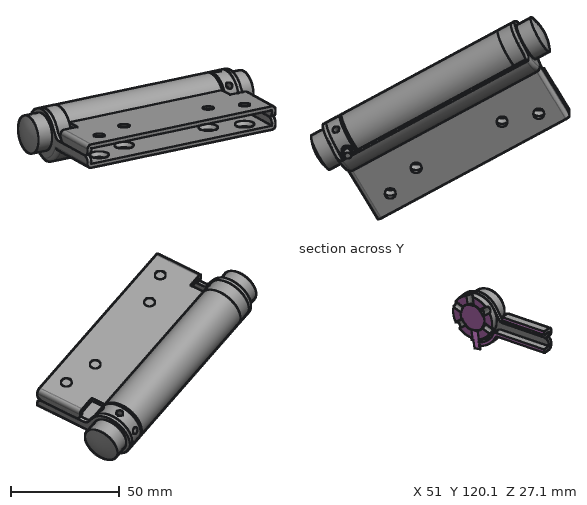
import cadquery as cq
import math


sheet = 2.0
plate_height = 5.75
leaf_reach = 40.0
leaf_half_length = 50.8
ear_corner_radius = 2.75

barrel_radius = 11.0
shaft_radius = 6.5
collar_length = 7.0
washer_thickness = 1.0
ear_inner_y = leaf_half_length - sheet
collar_inner_y = ear_inner_y - collar_length
barrel_top_y = collar_inner_y - washer_thickness
barrel_bottom_y = -collar_inner_y

head_radius = 9.0
head_rim_y = 58.15
head_tip_y = 60.05

notch_edge_x = 16.5

cradle_outer_radius = 14.4
cradle_inner_radius = cradle_outer_radius - sheet
ear_top_angle = 32.0
ear_root_radius = 3.0
ear_cut_angle = 246.0
cradle_mid_angle = -50.0

screw_hole_diameter = 5.0
countersink_flank_angle = 45.0
screw_holes = [(31.5, 39.3), (26.5, 22.75)]

pin_radius = 1.6
pin_shoulder_radius = 2.5
pin_shoulder_distance = 11.9
pin_tip_distance = 16.0
pin_y = 45.2
pin_hole_count = 6
pin_angle = 279.1

cradle_end_angle = ear_cut_angle + math.degrees(math.acos(barrel_radius / cradle_outer_radius))

corner_x = math.sqrt(cradle_outer_radius**2 - plate_height**2)
corner_angle = -math.degrees(math.asin(plate_height / cradle_outer_radius))


def polar(radius, angle):
    """Point in the XZ plane at an angle in degrees from +X toward +Z."""
    a = math.radians(angle)
    return radius * math.cos(a), radius * math.sin(a)


def profile_plane(y_end):
    """XZ sketch plane at a Y position; extruding from it goes toward -Y."""
    return cq.Workplane("XZ", origin=(0, y_end, 0))


def cylinder(radius, y_start, y_end):
    return profile_plane(y_end).circle(radius).extrude(y_end - y_start)


def knuckle_ring(y_start, y_end):
    """Ring of the barrel's radius, bored for the axle."""
    return cylinder(barrel_radius, y_start, y_end).cut(cylinder(shaft_radius, y_start, y_end))


def block(x_start, x_end, y_start, y_end, z_start, z_end):
    size = (x_end - x_start, y_end - y_start, z_end - z_start)
    return cq.Workplane().box(*size, centered=False).translate((x_start, y_start, z_start))


def radial_rod(radius, angle, start, end):
    """Round bar pointing outward from the axis at the pin position, between two distances from it."""
    x, z = polar(1, angle)
    plane = cq.Plane(origin=(x * start, pin_y, z * start), xDir=(0, 1, 0), normal=(x, 0, z))
    return cq.Workplane(plane).circle(radius).extrude(end - start)


def countersinks(side):
    """Cones through one leaf, narrow at its outer face; side is 1 for the upper leaf, -1 for the frame."""
    outer_radius = screw_hole_diameter / 2
    inner_radius = outer_radius + sheet * math.tan(math.radians(countersink_flank_angle))
    cones = cq.Workplane()
    for x, y in screw_holes:
        for y_side in (1, -1):
            start = cq.Vector(x, y_side * y, side * plate_height)
            cone = cq.Solid.makeCone(outer_radius, inner_radius, sheet, start, cq.Vector(0, 0, -side))
            cones = cones.add(cone)
    return cones.combine()


def make_upper_leaf():
    """Barrel with its plate; both end edges of the plate are bent down to the parting plane."""
    barrel = cylinder(barrel_radius, barrel_bottom_y, barrel_top_y)
    tongue = block(0, notch_edge_x, barrel_bottom_y, barrel_top_y, plate_height - sheet, plate_height)
    plate = block(notch_edge_x, leaf_reach, -leaf_half_length, leaf_half_length, 0, plate_height)
    plate = plate.edges("|X and >Z").fillet(sheet)
    plate = plate.edges("|Y and <Z").fillet(ear_corner_radius)
    channel = block(notch_edge_x, leaf_reach, -ear_inner_y, ear_inner_y, 0, plate_height - sheet)
    leaf = barrel.union(tongue).union(plate.cut(channel))
    bore = cylinder(shaft_radius, barrel_bottom_y, barrel_top_y)
    return leaf.cut(bore).cut(countersinks(1))


def draw_frame_underside(sketch):
    """Outer face of the frame, from its free edge to the end of the cradle."""
    return (
        sketch.lineTo(corner_x, -plate_height)
        .threePointArc(
            polar(cradle_outer_radius, cradle_mid_angle), polar(cradle_outer_radius, cradle_end_angle)
        )
    )


def ear_outline(plane):
    """Round about the axle, blended into the parting plane and cut straight down to the cradle."""
    root_turn = math.radians(90 - ear_top_angle)
    root_tangent = ear_root_radius * math.tan(root_turn / 2)
    root_corner_x = barrel_radius / math.cos(math.radians(ear_top_angle))
    root_start_x = root_corner_x - root_tangent * math.cos(root_turn)
    root_start_z = root_tangent * math.sin(root_turn)
    round_mid_angle = (ear_cut_angle + ear_top_angle) / 2
    sketch = (
        plane.moveTo(*polar(barrel_radius, ear_cut_angle))
        .threePointArc(polar(barrel_radius, round_mid_angle), polar(barrel_radius, ear_top_angle))
        .lineTo(root_start_x, root_start_z)
        .tangentArcPoint((root_corner_x + root_tangent, 0), relative=False)
        .lineTo(leaf_reach - ear_corner_radius, 0)
        .tangentArcPoint((leaf_reach, -ear_corner_radius), relative=False)
        .lineTo(leaf_reach, -plate_height)
    )
    return draw_frame_underside(sketch).close()


def sheet_outline(plane):
    """Flat of the frame, its bend and the cradle under the knuckle."""
    bend_mid_angle = (90 + 180 + corner_angle) / 2
    bend_mid_x, bend_mid_z = polar(sheet, bend_mid_angle)
    return (
        draw_frame_underside(plane.moveTo(leaf_reach, -plate_height))
        .lineTo(*polar(cradle_inner_radius, cradle_end_angle))
        .threePointArc(
            polar(cradle_inner_radius, cradle_mid_angle), polar(cradle_inner_radius, corner_angle)
        )
        .threePointArc(
            (corner_x + bend_mid_x, -plate_height + bend_mid_z), (corner_x, -plate_height + sheet)
        )
        .lineTo(leaf_reach, -plate_height + sheet)
        .close()
    )


def rounded_envelope():
    """Space holding the whole frame, with the outside of the bends between sheet and ears rounded."""
    drum = cylinder(cradle_outer_radius, -leaf_half_length, leaf_half_length)
    drum = drum.edges("%CIRCLE").fillet(sheet)
    slab = block(0, leaf_reach, -leaf_half_length, leaf_half_length, -plate_height, barrel_radius)
    slab = slab.edges("|X and <Z").fillet(sheet)
    return drum.union(slab)


def make_frame():
    """Lower leaf: sheet under the knuckle with an ear bent up at each end to carry the axle."""
    blank = ear_outline(profile_plane(leaf_half_length)).extrude(2 * leaf_half_length)
    blank = blank.intersect(rounded_envelope())

    between_ears = ear_outline(profile_plane(ear_inner_y)).extrude(2 * ear_inner_y)
    bent_sheet = sheet_outline(profile_plane(ear_inner_y)).extrude(2 * ear_inner_y)
    frame = blank.cut(between_ears.cut(bent_sheet))

    axle_bore = cylinder(shaft_radius, -leaf_half_length, leaf_half_length)
    pin_groove = radial_rod(pin_radius, pin_angle, shaft_radius, pin_tip_distance)
    return frame.cut(axle_bore).cut(countersinks(-1)).cut(pin_groove)


def make_adjusting_collar():
    """Collar with a ring of radial holes down to the axle."""
    collar = knuckle_ring(collar_inner_y, ear_inner_y)
    for i in range(pin_hole_count):
        angle = pin_angle + i * 360 / pin_hole_count
        collar = collar.cut(radial_rod(pin_radius, angle, 0, pin_tip_distance))
    return collar


def make_plain_collar():
    return knuckle_ring(-ear_inner_y, -collar_inner_y)


def make_washer():
    return knuckle_ring(barrel_top_y, collar_inner_y)


def make_axle():
    """Shaft through the whole knuckle with a domed head outside each ear."""
    dome_rise = head_tip_y - head_rim_y
    dome_radius = (head_radius**2 + dome_rise**2) / (2 * dome_rise)
    dome_mid_x = head_radius / 2
    dome_mid_y = head_tip_y - dome_radius + math.sqrt(dome_radius**2 - dome_mid_x**2)
    profile = (
        cq.Workplane("XY")
        .moveTo(0, -head_tip_y)
        .threePointArc((dome_mid_x, -dome_mid_y), (head_radius, -head_rim_y))
        .lineTo(head_radius, -leaf_half_length)
        .lineTo(shaft_radius, -leaf_half_length)
        .lineTo(shaft_radius, leaf_half_length)
        .lineTo(head_radius, leaf_half_length)
        .lineTo(head_radius, head_rim_y)
        .threePointArc((dome_mid_x, dome_mid_y), (0, head_tip_y))
        .close()
    )
    return profile.revolve(360, (0, 0), (0, 1))


def make_adjusting_pin():
    """Pin standing on the shaft in one of the collar's holes, with a shoulder on the collar."""
    pin = radial_rod(pin_radius, pin_angle, shaft_radius, pin_tip_distance)
    shoulder = radial_rod(pin_shoulder_radius, pin_angle, shaft_radius, pin_shoulder_distance)
    return pin.union(shoulder.cut(cylinder(barrel_radius, collar_inner_y, ear_inner_y)))


upper_leaf = make_upper_leaf()
frame = make_frame()
adjusting_collar = make_adjusting_collar()
plain_collar = make_plain_collar()
washer = make_washer()
axle = make_axle()
adjusting_pin = make_adjusting_pin()

bodies = [upper_leaf, frame, adjusting_collar, plain_collar, washer, axle, adjusting_pin]
result = cq.Compound.makeCompound([body.solids().val() for body in bodies])